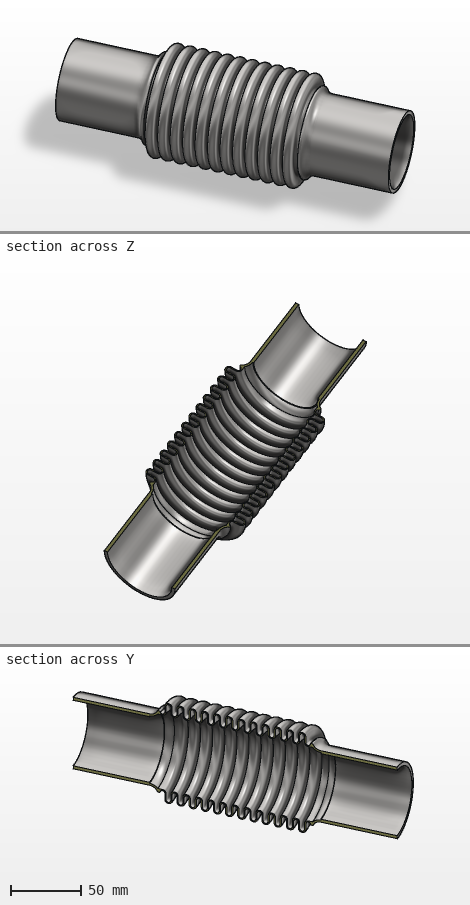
import cadquery as cq
import math

total_length = 250.0
outer_diameter = 84.0
tube_outer_diameter = 60.2
tube_bore_diameter = 54.5

ring_count = 12
bellows_length = 112.5
ring_pitch = bellows_length / ring_count
crest_radius = 3.0
root_diameter = 64.5

flare_start = 66.0
flare_radius = 6.5
flare_angle = math.radians(65)
collar_bore_diameter = 56.2
lip_diameter = 68.8
lip_offset = 59.0
lip_end_angle = math.radians(-60)

quarter_turn = math.pi / 2
half_length = total_length / 2
tube_radius = tube_outer_diameter / 2
bore_radius = tube_bore_diameter / 2
crest_center = outer_diameter / 2 - crest_radius

root_radius = ring_pitch / 2 - crest_radius
root_center = root_diameter / 2 + root_radius
end_root = bellows_length / 2
ring_positions = [(i + 0.5) * ring_pitch - end_root for i in range(ring_count)]


def on_circle(center, radius, angle):
    """Point on a circle, with the angle measured from its lowest point towards +X."""
    x, r = center
    return (x + radius * math.sin(angle), r - radius * math.cos(angle))


def mirrored(point):
    return (-point[0], point[1])


flare_center = (-flare_start, tube_radius + flare_radius)
left_root_center = (-end_root, root_center)


def corrugations(profile, crest_arc, root_arc):
    """Run from the left end root over all rings, ending at the start of the right end root."""
    for x in ring_positions:
        if x > ring_positions[0]:
            valley = x - ring_pitch / 2
            profile = profile.threePointArc((valley, root_center - root_arc), (x - crest_arc, root_center))
        profile = (
            profile.lineTo(x - crest_arc, crest_center)
            .threePointArc((x, crest_center + crest_arc), (x + crest_arc, crest_center))
            .lineTo(x + crest_arc, root_center)
        )
    return profile


def outer_body():
    flare_mid = on_circle(flare_center, flare_radius, flare_angle / 2)
    flare_end = on_circle(flare_center, flare_radius, flare_angle)
    lip_tip = (-lip_offset, lip_diameter / 2)
    root_start = on_circle(left_root_center, root_radius, lip_end_angle)
    root_mid = on_circle(left_root_center, root_radius, (lip_end_angle + quarter_turn) / 2)

    profile = (
        cq.Workplane("XY")
        .moveTo(-half_length, 0)
        .lineTo(-half_length, tube_radius)
        .lineTo(-flare_start, tube_radius)
        .threePointArc(flare_mid, flare_end)
        .threePointArc(lip_tip, root_start)
        .threePointArc(root_mid, (root_radius - end_root, root_center))
    )
    profile = (
        corrugations(profile, crest_radius, root_radius)
        .threePointArc(mirrored(root_mid), mirrored(root_start))
        .threePointArc(mirrored(lip_tip), mirrored(flare_end))
        .threePointArc(mirrored(flare_mid), (flare_start, tube_radius))
        .lineTo(half_length, tube_radius)
        .lineTo(half_length, 0)
        .close()
    )
    return profile.revolve(360, (0, 0, 0), (1, 0, 0))


def inner_cavity():
    collar_radius = collar_bore_diameter / 2
    inner_root = root_center - crest_radius
    inner_flare_radius = flare_center[1] - collar_radius
    inner_flare_angle = math.acos((flare_center[1] - inner_root) / inner_flare_radius)
    flare_mid = on_circle(flare_center, inner_flare_radius, inner_flare_angle / 2)
    flare_end = on_circle(flare_center, inner_flare_radius, inner_flare_angle)
    root_mid = on_circle(left_root_center, crest_radius, quarter_turn / 2)

    profile = (
        cq.Workplane("XY")
        .moveTo(-half_length, 0)
        .lineTo(-half_length, bore_radius)
        .lineTo(-flare_start, bore_radius)
        .lineTo(-flare_start, collar_radius)
        .threePointArc(flare_mid, flare_end)
        .lineTo(-end_root, inner_root)
        .threePointArc(root_mid, (crest_radius - end_root, root_center))
    )
    profile = (
        corrugations(profile, root_radius, crest_radius)
        .threePointArc(mirrored(root_mid), (end_root, inner_root))
        .lineTo(*mirrored(flare_end))
        .threePointArc(mirrored(flare_mid), (flare_start, collar_radius))
        .lineTo(flare_start, bore_radius)
        .lineTo(half_length, bore_radius)
        .lineTo(half_length, 0)
        .close()
    )
    return profile.revolve(360, (0, 0, 0), (1, 0, 0))


result = outer_body().cut(inner_cavity())